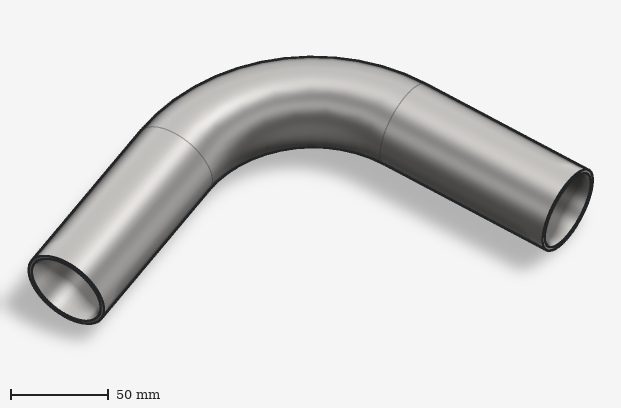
import cadquery as cq

overall_length = 208.2
outer_diameter = 46.5
wall_thickness = 2.0
leg_length = 100.0

outer_radius = outer_diameter / 2
inner_radius = outer_radius - wall_thickness
bend_radius = overall_length - leg_length - outer_radius
bend_angle = 90


def straight_leg(plane):
    """Hollow tube extruded from the origin of the given plane."""
    return cq.Workplane(plane).circle(outer_radius).circle(inner_radius).extrude(leg_length)


first_leg = straight_leg(cq.Plane(origin=(-bend_radius, 0, 0), xDir=(1, 0, 0), normal=(0, -1, 0)))
second_leg = straight_leg(cq.Plane(origin=(0, bend_radius, 0), xDir=(0, 1, 0), normal=(1, 0, 0)))

bend = (
    cq.Workplane("XZ")
    .center(-bend_radius, 0)
    .circle(outer_radius)
    .circle(inner_radius)
    .revolve(bend_angle, (bend_radius, 0), (bend_radius, -1))
)

result = first_leg.union(bend).union(second_leg)